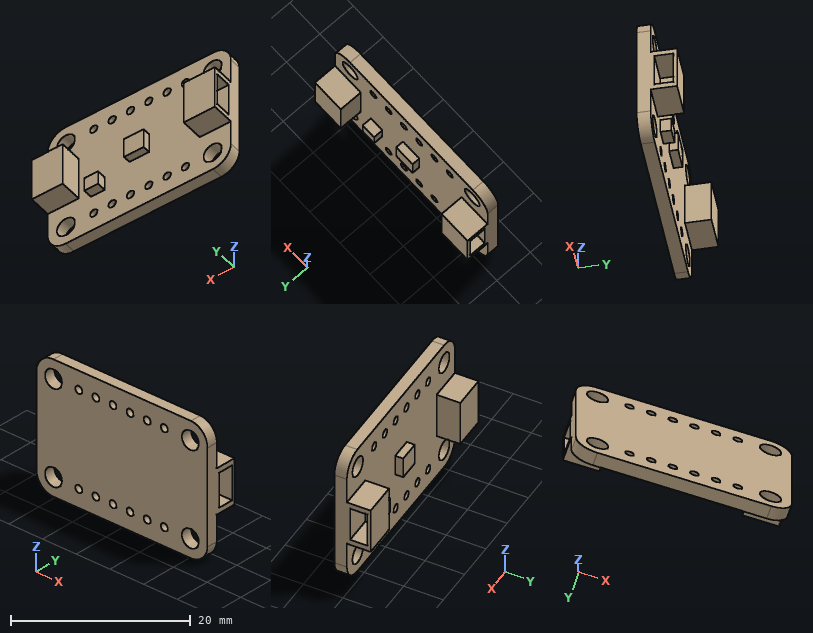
import cadquery as cq

board_length = 25.4
board_height = 17.78
board_thickness = 1.6
corner_radius = 2.5

mount_hole_diameter = 2.5
mount_hole_inset = 2.55
mount_x_spacing = board_length - 2 * mount_hole_inset
mount_z_spacing = board_height - 2 * mount_hole_inset

pin_count = 6
pin_pitch = 2.55
pin_hole_diameter = 1.02
pin_row_spacing = 12.8
pin_row_center_x = -0.05

connector_length = 4.32
connector_depth = 3.0
connector_height = 6.02
socket_depth = 3.55
socket_height = 4.52
socket_outer_wall = 0.43
socket_width = 2.15

chip_side = 2.72
chip_thickness = 1.02
small_part_side = 1.9
small_part_thickness = 1.25
small_part_x = 5.75
small_part_bottom_z = -3.7


def box_on_board(length, thickness, height, x, z):
    """Block standing on the populated face, centred at (x, z)."""
    return (
        cq.Workplane("XY")
        .box(length, thickness, height, centered=(True, False, True))
        .translate((x, board_thickness, z))
    )


def make_board():
    blank = (
        cq.Workplane("XY")
        .box(board_length, board_thickness, board_height, centered=(True, False, True))
        .edges("|Y")
        .fillet(corner_radius)
    )
    mount_holes = (
        cq.Workplane("XZ")
        .rarray(mount_x_spacing, mount_z_spacing, 2, 2)
        .circle(mount_hole_diameter / 2)
        .extrude(-board_thickness)
    )
    pin_holes = (
        cq.Workplane("XZ", origin=(pin_row_center_x, 0, 0))
        .rarray(pin_pitch, pin_row_spacing, pin_count, 2)
        .circle(pin_hole_diameter / 2)
        .extrude(-board_thickness)
    )
    return blank.cut(mount_holes).cut(pin_holes)


def make_connector(side):
    """Connector with a blind socket open outwards; side is -1 or +1 along X."""
    body_x = side * (board_length - connector_length) / 2
    socket_x = side * (board_length - socket_depth) / 2
    socket_y = connector_depth - socket_outer_wall - socket_width
    body = box_on_board(connector_length, connector_depth, connector_height, body_x, 0)
    socket = box_on_board(socket_depth, socket_width, socket_height, socket_x, 0)
    return body.cut(socket.translate((0, socket_y, 0)))


result = make_board()
for side in (-1, 1):
    result = result.union(make_connector(side))

chip = box_on_board(chip_side, chip_thickness, chip_side, 0, 0)
small_part_z = small_part_bottom_z + small_part_side / 2
small_part = box_on_board(
    small_part_side, small_part_thickness, small_part_side, small_part_x, small_part_z
)
result = result.union(chip).union(small_part)